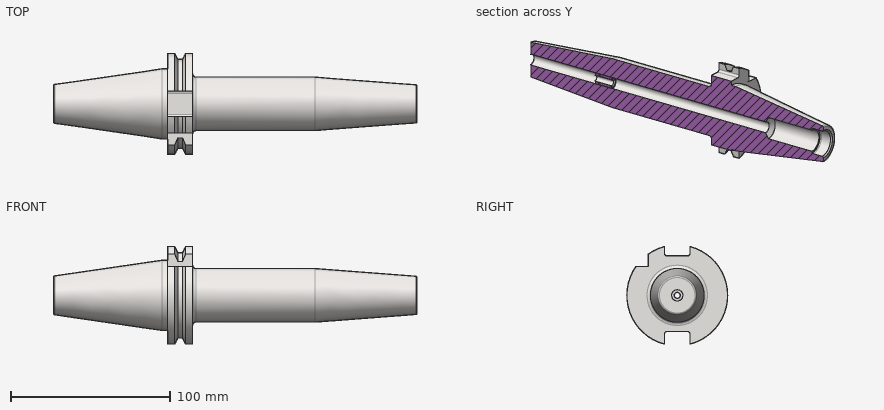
import cadquery as cq
import math

total_length = 228.5
taper_length = 68.3
flange_start = 71.7
flange_width = 15.8
flange_end = flange_start + flange_width
nose_start = 164.5

taper_small_radius = 12.3
taper_large_radius = 22.2
flange_radius = 31.7
shank_radius = 17.0
nose_end_radius = 12.0

end_fillet = 1.0
shank_fillet = 2.0

groove_depth = 3.7
groove_floor_width = 3.0
groove_mouth_width = 6.9
groove_center = flange_start + flange_width / 2

slot_width = 16.0
slot_corner_radius = 1.4
top_slot_floor = 25.0
bottom_slot_floor = 22.8
notch_offset = 18.3

mouth_radius = 9.4
counterbore_radius = 8.5
counterbore_depth = 8.0
counterbore_foot_radius = 8.2
counterbore_foot_depth = 9.0
mouth_depth = 1.0
drawbar_bore_radius = 7.0
drawbar_bore_depth = 43.0
cone_angle = 118.0
axial_bore_diameter = 7.0
axial_bore_radius = axial_bore_diameter / 2

screw_start = nose_start
screw_length = 13.7
screw_cup_diameter = 5.7
screw_cup_radius = screw_cup_diameter / 2
screw_hole_radius = 1.8


def tip_depth(outer_radius, inner_radius):
    """Length along the axis of a cone between two radii."""
    return (outer_radius - inner_radius) / math.tan(math.radians(cone_angle / 2))


def spun(outline):
    """Revolve a closed outline a full turn about the X axis."""
    return outline.revolve(360, (0, 0, 0), (1, 0, 0))


def turned(points):
    """Turned body with straight sides between its (x, radius) points."""
    return spun(cq.Workplane("XZ").polyline(points).close())


def outer_blank():
    """Steep taper, flange, shank and tapered nose as one turned body."""
    outline = (
        cq.Workplane("XZ")
        .moveTo(0, 0)
        .lineTo(0, taper_small_radius - end_fillet)
        .radiusArc((end_fillet, taper_small_radius), end_fillet)
        .lineTo(taper_length, taper_large_radius)
        .lineTo(flange_start, taper_large_radius)
        .lineTo(flange_start, flange_radius)
        .lineTo(flange_end, flange_radius)
        .lineTo(flange_end, shank_radius + shank_fillet)
        .radiusArc((flange_end + shank_fillet, shank_radius), -shank_fillet)
        .lineTo(nose_start, shank_radius)
        .lineTo(total_length - end_fillet, nose_end_radius)
        .radiusArc((total_length, nose_end_radius - end_fillet), end_fillet)
        .lineTo(total_length, 0)
        .close()
    )
    return spun(outline)


def gripper_groove():
    """V-shaped ring with a flat floor, removed from the rim of the flange."""
    floor_radius = flange_radius - groove_depth
    half_floor = groove_floor_width / 2
    half_mouth = groove_mouth_width / 2
    return turned([
        (groove_center - half_floor, floor_radius),
        (groove_center - half_mouth, flange_radius),
        (groove_center + half_mouth, flange_radius),
        (groove_center + half_floor, floor_radius),
    ])


def drive_slot(floor_height, side):
    """Slot across the flange; side is +1 for the top and -1 for the bottom."""
    height = flange_radius - floor_height
    floor_edges = "|X and <Z" if side > 0 else "|X and >Z"
    return (
        cq.Workplane("XY")
        .box(flange_width, slot_width, height)
        .edges(floor_edges)
        .fillet(slot_corner_radius)
        .translate((groove_center, 0, side * (floor_height + height / 2)))
    )


def orientation_notch():
    """Square-cornered notch in the -Y, +Z quadrant of the flange."""
    size = flange_radius - notch_offset
    return cq.Workplane("XY").box(flange_width, size, size).translate(
        (groove_center, -(notch_offset + size / 2), notch_offset + size / 2)
    )


def inner_bores():
    """Chamfered counterbore with a tapered foot, drawbar bore with drill tip, and the bore along the axis."""
    tip_end = drawbar_bore_depth + tip_depth(drawbar_bore_radius, axial_bore_radius)
    return turned([
        (0, 0),
        (0, mouth_radius),
        (mouth_depth, counterbore_radius),
        (counterbore_depth, counterbore_radius),
        (counterbore_foot_depth, counterbore_foot_radius),
        (counterbore_foot_depth, drawbar_bore_radius),
        (drawbar_bore_depth, drawbar_bore_radius),
        (tip_end, axial_bore_radius),
        (total_length, axial_bore_radius),
        (total_length, 0),
    ])


def make_holder():
    """Tool holder with steep taper, flange and nose."""
    return (
        outer_blank()
        .cut(gripper_groove())
        .cut(drive_slot(top_slot_floor, 1))
        .cut(drive_slot(bottom_slot_floor, -1))
        .cut(orientation_notch())
        .cut(inner_bores())
    )


def make_screw():
    """Drilled adjusting screw with a conical cup in its rear face."""
    cup_end = screw_start + tip_depth(screw_cup_radius, screw_hole_radius)
    screw_end = screw_start + screw_length
    return turned([
        (screw_start, screw_cup_radius),
        (screw_start, axial_bore_radius),
        (screw_end, axial_bore_radius),
        (screw_end, screw_hole_radius),
        (cup_end, screw_hole_radius),
    ])


holder = make_holder()
screw = make_screw()

result = cq.Compound.makeCompound([holder.val(), screw.val()])